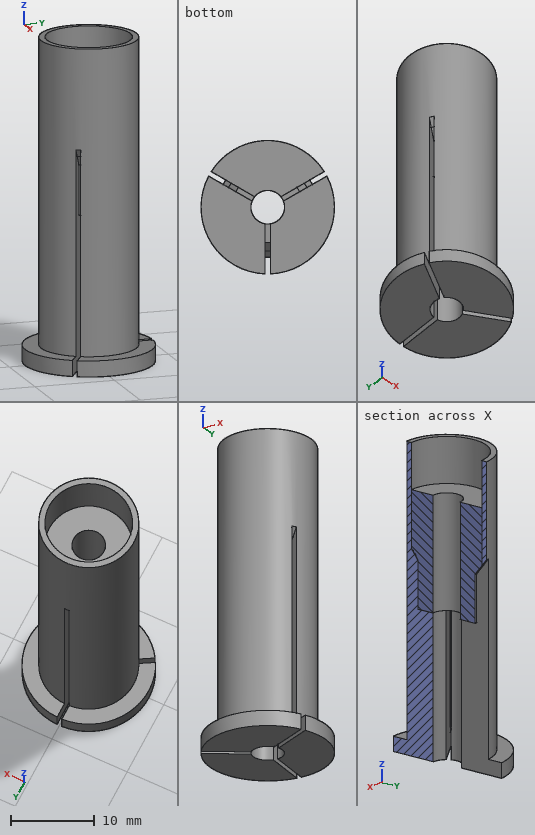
import cadquery as cq

height = 40.0
tube_radius = 6.0
bore_radius = 5.25
flange_radius = 8.0
flange_height = 2.0

slot_count = 3
first_slot_angle = 90.0
slot_width = 0.6
slot_top = 27.5

wedge_top = 34.0
stem_radius = 4.25
stem_bottom = 19.0
stem_top = 25.2
cone_slope = (slot_top - stem_top) / (tube_radius - stem_radius)
cone_top = stem_top + cone_slope * (bore_radius - stem_radius)

axial_hole_radius = 2.0


def revolve_profile(points):
    """Revolve a closed outline of (radius, z) points around the Z axis."""
    profile = cq.Workplane("XZ").polyline(points).close()
    return profile.revolve(360, (0, 0, 0), (0, 1, 0))


def make_slot(angle):
    """Radial cutter past the flange rim; its upper end slopes along the cone seat."""
    reach = flange_radius + slot_width
    slot = cq.Workplane("XY").box(reach, slot_width, slot_top, centered=(False, True, False))
    above_cone = revolve_profile([
        (0, stem_top),
        (stem_radius, stem_top),
        (tube_radius, slot_top),
        (0, slot_top),
    ])
    return slot.cut(above_cone).rotate((0, 0, 0), (0, 0, 1), angle)


def make_sleeve():
    """Flanged tube with a stem socket and conical seat, slotted from the foot."""
    sleeve = revolve_profile([
        (axial_hole_radius, 0),
        (flange_radius, 0),
        (flange_radius, flange_height),
        (tube_radius, flange_height),
        (tube_radius, height),
        (bore_radius, height),
        (bore_radius, cone_top),
        (stem_radius, stem_top),
        (stem_radius, stem_bottom),
        (axial_hole_radius, stem_bottom),
    ])
    for index in range(slot_count):
        sleeve = sleeve.cut(make_slot(first_slot_angle + index * 360.0 / slot_count))
    return sleeve


def make_wedge():
    """Plug with a straight head, a cone and a narrower stem."""
    return revolve_profile([
        (axial_hole_radius, stem_bottom),
        (stem_radius, stem_bottom),
        (stem_radius, stem_top),
        (bore_radius, cone_top),
        (bore_radius, wedge_top),
        (axial_hole_radius, wedge_top),
    ])


sleeve = make_sleeve()
wedge = make_wedge()
result = cq.Compound.makeCompound([sleeve.val(), wedge.val()])